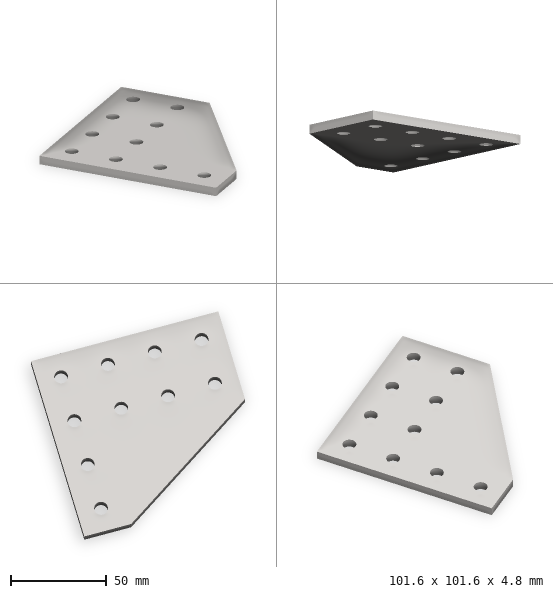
import cadquery as cq

side = 101.6
thickness = 4.8
cells_per_side = 4
pitch = side / cells_per_side
full_columns = 2
hole_diameter = 7.2

top_edge_length = full_columns * pitch
right_edge_length = pitch

plate = (
    cq.Workplane("XY")
    .polyline([
        (0, 0),
        (side, 0),
        (side, right_edge_length),
        (top_edge_length, side),
        (0, side),
    ])
    .close()
    .extrude(thickness)
)

hole_centres = [
    ((column + 0.5) * pitch, (row + 0.5) * pitch)
    for column in range(cells_per_side)
    for row in range(cells_per_side)
    if row == 0 or column < full_columns
]
holes = (
    cq.Workplane("XY")
    .pushPoints(hole_centres)
    .circle(hole_diameter / 2)
    .extrude(thickness)
)

result = plate.cut(holes)